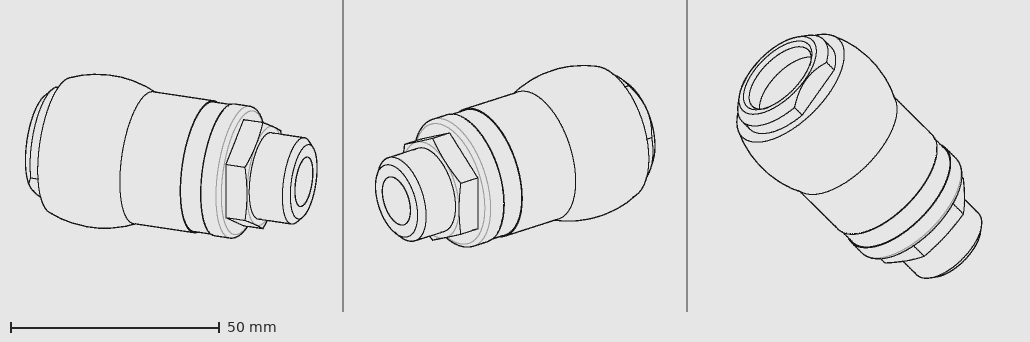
import cadquery as cq
import math

collar_end = 4.95
bulge_peak = 15.0
bulge_end = 25.85
groove_start = 41.35
groove_end = 46.55
body_end = 51.5
hex_end = 56.95
total_length = 67.0

wrench_size = 24.0
hex_corner_diameter = wrench_size / math.cos(math.pi / 6)
collar_diameter = hex_corner_diameter
collar_face_diameter = 23.7
bulge_start_diameter = 32.95
bulge_diameter = 36.85
body_diameter = 32.0
groove_diameter = 31.5
spigot_diameter = 21.0
bore_diameter = 19.0
end_pad_diameter = 12.0

body_round = 1.0
spigot_chamfer = 1.5
end_pad_height = 0.1
hex_face_diameter = wrench_size
hex_chamfer_angle = math.radians(15)
bore_mouth_chamfer = (spigot_diameter - bore_diameter) / 2
bore_depth = collar_end
flat_angle = -45.0


def cylinder(start, end, diameter):
    """Solid cylinder on the X axis between two stations."""
    return cq.Workplane("YZ", origin=(start, 0, 0)).circle(diameter / 2).extrude(end - start)


def cone(start, end, start_diameter, end_diameter):
    """Solid truncated cone on the X axis between two stations."""
    profile = (
        cq.Workplane("XY")
        .moveTo(start, 0)
        .lineTo(start, start_diameter / 2)
        .lineTo(end, end_diameter / 2)
        .lineTo(end, 0)
        .close()
    )
    return profile.revolve(360, (0, 0, 0), (1, 0, 0))


def make_collar():
    """Round socket collar with a chamfered rim and two opposite wrench flats."""
    chamfer = (collar_diameter - collar_face_diameter) / 2
    collar = cylinder(0, collar_end, collar_diameter).faces("<X").chamfer(chamfer)
    flats = cq.Workplane("YZ").rect(collar_diameter, wrench_size).extrude(collar_end)
    return collar.intersect(flats.rotate((0, 0, 0), (1, 0, 0), flat_angle))


def make_bulge():
    """Barrel-shaped grip turned from a single arc."""
    profile = (
        cq.Workplane("XY")
        .moveTo(collar_end, 0)
        .lineTo(collar_end, bulge_start_diameter / 2)
        .threePointArc((bulge_peak, bulge_diameter / 2), (bulge_end, body_diameter / 2))
        .lineTo(bulge_end, 0)
        .close()
    )
    return profile.revolve(360, (0, 0, 0), (1, 0, 0))


def make_body():
    """Cylindrical sleeve with a shallow marking groove and a rounded end."""
    sleeve = cylinder(bulge_end, groove_start, body_diameter)
    groove_core = cylinder(groove_start, groove_end, groove_diameter)
    end_ring = cylinder(groove_end, body_end, body_diameter).faces(">X").edges().fillet(body_round)
    return sleeve.union(groove_core).union(end_ring)


def make_hex():
    """Hexagon with corners on the Z axis and its outer end turned to a cone."""
    hexagon = (
        cq.Workplane("YZ", origin=(body_end, 0, 0))
        .polygon(6, hex_corner_diameter)
        .extrude(hex_end - body_end)
        .rotate((0, 0, 0), (1, 0, 0), 90)
    )
    length = hex_end - body_end
    base_diameter = hex_face_diameter + 2 * length / math.tan(hex_chamfer_angle)
    return hexagon.intersect(cone(body_end, hex_end, base_diameter, hex_face_diameter))


def make_spigot():
    """Chamfered spigot with a thin round pad on its end face."""
    pad_start = total_length - end_pad_height
    spigot = cylinder(hex_end, pad_start, spigot_diameter).faces(">X").chamfer(spigot_chamfer)
    return spigot.union(cylinder(pad_start, total_length, end_pad_diameter))


def make_bore():
    """Blind socket bore with a chamfered mouth."""
    mouth = cone(0, bore_mouth_chamfer, spigot_diameter, bore_diameter)
    return cylinder(0, bore_depth, bore_diameter).union(mouth)


result = (
    make_collar()
    .union(make_bulge())
    .union(make_body())
    .union(make_hex())
    .union(make_spigot())
    .cut(make_bore())
)